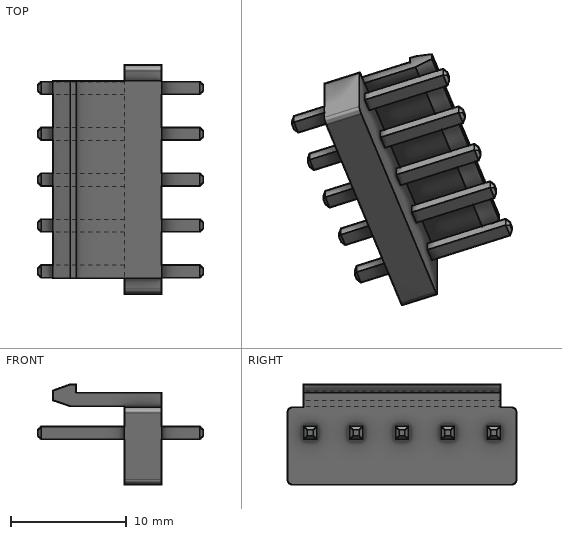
import cadquery as cq

pin_count = 5
pitch = 3.96
pin_size = 1.1
pin_length = 14.3
pin_tip_length = 0.3
pin_tip_size = pin_size - 2 * pin_tip_length
pin_height = 4.5

wall_length = pin_count * pitch
wall_thickness = 3.2
wall_height = 6.73
wall_corner_radius = 0.5
wall_front = 7.48
wall_back = wall_front + wall_thickness

latch_width = 17.05
latch_front = 1.3
latch_underside = 6.8
latch_thickness = 1.19
latch_top = latch_underside + latch_thickness
hook_top = 8.7
hook_slope_length = 1.5
hook_flat_length = 0.51
hook_slope_end = latch_front + hook_slope_length
hook_back = hook_slope_end + hook_flat_length
nose_bottom = 7.3
nose_height = 0.85
nose_top = nose_bottom + nose_height


def make_wall():
    """Upright plate that holds the pins, with rounded long corners."""
    wall = cq.Workplane("XY").box(wall_thickness, wall_length, wall_height, centered=(False, True, False))
    return wall.edges("|X").fillet(wall_corner_radius).translate((wall_front, 0, 0))


def make_latch():
    """Flat arm with a hooked nose, carried on a foot that merges into the wall."""
    foot_bottom = wall_height - wall_corner_radius
    outline = [
        (latch_front, nose_bottom),
        (hook_slope_end, latch_underside),
        (wall_front, latch_underside),
        (wall_front, foot_bottom),
        (wall_back, foot_bottom),
        (wall_back, latch_top),
        (hook_back, latch_top),
        (hook_back, hook_top),
        (hook_slope_end, hook_top),
        (latch_front, nose_top),
    ]
    return cq.Workplane("XZ").polyline(outline).close().extrude(latch_width / 2, both=True)


def make_pin():
    """Square pin along X, starting at the origin, tapered at 45 degrees on both ends."""
    shank_end = pin_length - pin_tip_length
    shank = (
        cq.Workplane("YZ", origin=(pin_tip_length, 0, 0))
        .rect(pin_size, pin_size)
        .extrude(shank_end - pin_tip_length)
    )
    front_tip = (
        cq.Workplane("YZ")
        .rect(pin_tip_size, pin_tip_size)
        .workplane(offset=pin_tip_length)
        .rect(pin_size, pin_size)
        .loft(ruled=True)
    )
    back_tip = front_tip.mirror("YZ").translate((pin_length, 0, 0))
    return shank.union(front_tip).union(back_tip)


result = make_wall().union(make_latch())

pin = make_pin()
for index in range(pin_count):
    pin_y = (index - (pin_count - 1) / 2) * pitch
    result = result.union(pin.translate((0, pin_y, pin_height)))